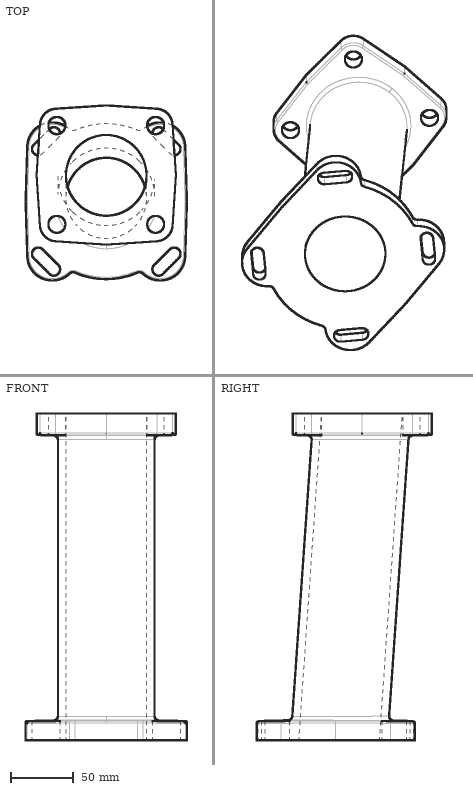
import cadquery as cq
import math

total_height = 260.4
top_flange_y = 21.0

tube_radius = 38.5
bore_radius = 32.0
tube_base_y = 2.5
tube_tilt = math.radians(4)
tube_joint_margin = 2.5
tube_blend = 3.0

bottom_thickness = 17.2
bottom_half_width = 64.3
bottom_corner_offset = 43.0
bottom_corner_radius = 20.0
bottom_lobe_radius = 62.0
notch_x = 28.0
notch_blend = 4.0
notch_reach = 2.5
bottom_edge_round = 1.5
slot_offset = 48.0
slot_width = 10.0
slot_centre_distance = 17.5

top_thickness = 18.7
top_half_width = 55.5
top_corner_offset = 39.3
top_corner_radius = 13.5
top_edge_round = 1.5
bolt_hole_diameter = 13.5

face_slope = math.radians(1.5)
cone_radius = 104.1

CORNER_SIGNS = [(1, 1), (-1, 1), (-1, -1), (1, -1)]


def corner_points(offset):
    return [(offset * sx, offset * sy) for sx, sy in CORNER_SIGNS]


def side_tangent(half_width, offset, radius):
    """Point where the line from (half_width, 0) touches the first-quadrant corner circle."""
    dx = offset - half_width
    distance = math.hypot(dx, offset)
    angle = math.atan2(-offset, -dx) + math.acos(radius / distance)
    return offset + radius * math.cos(angle), offset + radius * math.sin(angle)


def top_outline():
    tx, ty = side_tangent(top_half_width, top_corner_offset, top_corner_radius)
    diagonal = top_corner_offset + top_corner_radius * math.sqrt(0.5)
    outline = cq.Workplane("XY").moveTo(top_half_width, 0)
    for quarter in range(4):
        c = round(math.cos(quarter * math.pi / 2))
        s = round(math.sin(quarter * math.pi / 2))

        def turned(x, y):
            return x * c - y * s, x * s + y * c

        outline = outline.lineTo(*turned(tx, ty))
        outline = outline.threePointArc(turned(diagonal, diagonal), turned(ty, tx))
        outline = outline.lineTo(*turned(0, top_half_width))
    return outline.close()


def bottom_blank():
    """Bowed side walls around four corner discs, with a shallow lobe between the discs at each end."""
    tx, ty = side_tangent(bottom_half_width, bottom_corner_offset, bottom_corner_radius)
    core = [
        (bottom_half_width, 0), (tx, ty), (bottom_corner_offset, bottom_corner_offset),
        (-bottom_corner_offset, bottom_corner_offset), (-tx, ty),
        (-bottom_half_width, 0), (-tx, -ty), (-bottom_corner_offset, -bottom_corner_offset),
        (bottom_corner_offset, -bottom_corner_offset), (tx, -ty),
    ]
    blank = cq.Workplane("XY").polyline(core).close().extrude(bottom_thickness)
    discs = (
        cq.Workplane("XY").pushPoints(corner_points(bottom_corner_offset))
        .circle(bottom_corner_radius).extrude(bottom_thickness)
    )
    lobe = cq.Workplane("XY").circle(bottom_lobe_radius).extrude(bottom_thickness)
    blank = blank.union(discs).union(lobe).clean()
    notch_y = math.sqrt(bottom_lobe_radius**2 - notch_x**2)
    for sx, sy in CORNER_SIGNS:
        x, y = notch_x * sx, notch_y * sy
        notch = cq.selectors.BoxSelector(
            (x - notch_reach, y - notch_reach, 0),
            (x + notch_reach, y + notch_reach, bottom_thickness),
        )
        blank = blank.edges("|Z").edges(notch).fillet(notch_blend)
    return blank


def shallow_cone(thickness):
    """Disc of the given centre thickness that gets thinner outwards."""
    rim = thickness - cone_radius * math.tan(face_slope)
    profile = [(0, 0), (cone_radius, 0), (cone_radius, rim), (0, thickness)]
    cone = cq.Workplane("XZ").polyline(profile).close().revolve(360, (0, 0, 0), (0, 1, 0))
    return cone.rotate((0, 0, 0), (0, 0, 1), -90)


def bottom_flange():
    flange = bottom_blank().intersect(shallow_cone(bottom_thickness))
    flange = flange.faces(">Z").edges().fillet(bottom_edge_round)
    for sx, sy in CORNER_SIGNS:
        slot = (
            cq.Workplane("XY").center(slot_offset * sx, slot_offset * sy)
            .slot2D(slot_centre_distance + slot_width, slot_width, -45 * sx * sy)
            .extrude(bottom_thickness)
        )
        flange = flange.cut(slot)
    return flange


def top_flange():
    """Built with its mating face on z = 0, then turned over onto the top of the tube."""
    flange = top_outline().extrude(top_thickness).intersect(shallow_cone(top_thickness))
    flange = flange.faces(">Z").edges().fillet(top_edge_round)
    holes = (
        cq.Workplane("XY").pushPoints(corner_points(top_corner_offset))
        .circle(bolt_hole_diameter / 2).extrude(top_thickness)
    )
    flange = flange.cut(holes)
    return flange.rotate((0, 0, 0), (0, 1, 0), 180).translate((0, top_flange_y, total_height))


def inclined_cylinder(radius):
    """Round bar along the tube axis, trimmed level at the outer faces of both flanges."""
    axis = cq.Vector(0, total_height * math.tan(tube_tilt), total_height)
    overrun = axis.normalized() * tube_radius
    start = cq.Vector(0, tube_base_y, 0) - overrun
    bar = cq.Solid.makeCylinder(radius, axis.Length + 2 * tube_radius, start, axis)
    slab = cq.Workplane("XY").box(total_height, total_height, total_height, centered=(True, True, False))
    return slab.intersect(cq.Workplane(bar))


body = bottom_flange().union(top_flange()).union(inclined_cylinder(tube_radius))

tube_zone = tube_radius + tube_joint_margin
tube_joints = cq.selectors.BoxSelector(
    (-tube_zone, -tube_zone, bottom_thickness / 2),
    (tube_zone, top_flange_y + tube_zone, total_height - top_thickness / 2),
    boundingbox=True,
)
tube_joint_edges = body.edges(tube_joints).edges("not %CIRCLE").edges("not %LINE")
body = tube_joint_edges.fillet(tube_blend)

result = body.cut(inclined_cylinder(bore_radius))